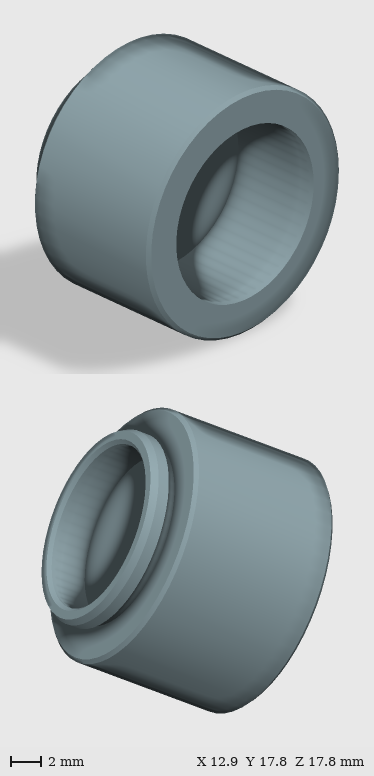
import cadquery as cq

total_length = 12.95
barrel_radius = 8.89
barrel_chamfer = 0.25

nose_length = 2.03
flange_length = 1.28
flange_radius = 6.8
flange_chamfer_length = 0.48
flange_chamfer_drop = 0.25
neck_radius = 6.33

opening_radius = 5.7
opening_chamfer = 0.25
lens_radius = 6.33
lens_front_depth = 2.85
lens_thickness = 3.02

front_x = -total_length / 2
back_x = front_x + total_length
barrel_front_x = front_x + nose_length
flange_back_x = front_x + flange_length
lens_front_x = front_x + lens_front_depth


def cylinder_along_x(start_x, length, radius):
    """Solid cylinder on the X axis, growing toward +X."""
    return cq.Workplane("YZ").workplane(offset=start_x).circle(radius).extrude(length)


def make_housing():
    """Chamfered barrel with a flanged nose, bored from both ends to form the lens seat."""
    outline = [
        (front_x, 0),
        (front_x, flange_radius - flange_chamfer_drop),
        (front_x + flange_chamfer_length, flange_radius),
        (flange_back_x, flange_radius),
        (flange_back_x, neck_radius),
        (barrel_front_x, neck_radius),
        (barrel_front_x, barrel_radius - barrel_chamfer),
        (barrel_front_x + barrel_chamfer, barrel_radius),
        (back_x - barrel_chamfer, barrel_radius),
        (back_x, barrel_radius - barrel_chamfer),
        (back_x, 0),
    ]
    body = cq.Workplane("XY").polyline(outline).close().revolve(360, (0, 0, 0), (1, 0, 0))
    opening = cylinder_along_x(front_x, lens_front_depth, opening_radius)
    lens_bore = cylinder_along_x(lens_front_x, back_x - lens_front_x, lens_radius)
    bored = body.cut(opening).cut(lens_bore)
    opening_rim = bored.faces("<X").edges(cq.selectors.RadiusNthSelector(0))
    return opening_rim.chamfer(opening_chamfer)


def make_lens():
    """Flat-faced round lens resting against the shoulder of the seat."""
    return cylinder_along_x(lens_front_x, lens_thickness, lens_radius)


housing = make_housing()
lens = make_lens()

result = cq.Compound.makeCompound([housing.val(), lens.val()])